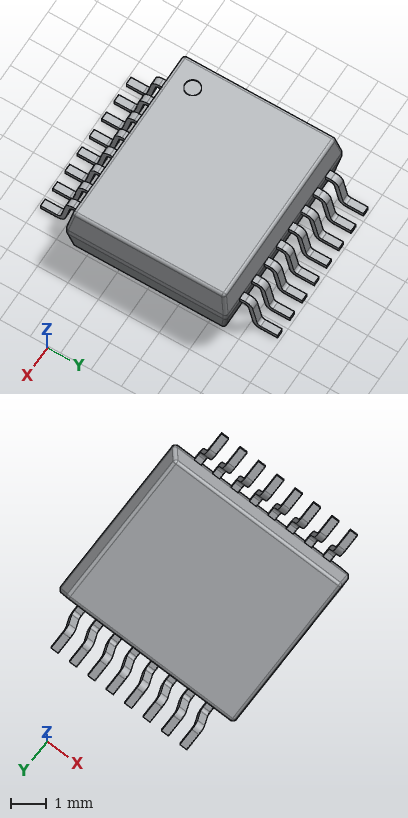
import cadquery as cq
import math

BODY_LENGTH = 6.2
BODY_WIDTH = 5.3
LEAD_TIP_SPAN = 7.8
TOTAL_HEIGHT = 1.98

STANDOFF = 0.08
BELT_HEIGHT = 0.22
DRAFT_ANGLE = 10.0
BODY_EDGE_RADIUS = 0.1

BODY_MID_Z = (STANDOFF + TOTAL_HEIGHT) / 2
TAPER_HEIGHT = (TOTAL_HEIGHT - STANDOFF - BELT_HEIGHT) / 2

MARK_DIAMETER = 0.5
MARK_INSET = 0.905
MARK_DEPTH = 0.05

LEADS_PER_SIDE = 8
LEAD_ROW_LENGTH = 4.55
LEAD_WIDTH = 0.25
LEAD_THICKNESS = 0.15
LEAD_EMBED = 0.155
SHOULDER_LENGTH = 0.18
BEND_RADIUS = 0.195
LEG_ANGLE = 12.0

LEAD_PITCH = LEAD_ROW_LENGTH / (LEADS_PER_SIDE - 1)


def make_body():
    """Belt with equal tapered halves above and below, rounded except along the belt."""
    belt_bottom = BODY_MID_Z - BELT_HEIGHT / 2
    belt_top = BODY_MID_Z + BELT_HEIGHT / 2

    def extrude_outline(base_z, height, taper=0):
        outline = cq.Workplane("XY", origin=(0, 0, base_z)).rect(BODY_LENGTH, BODY_WIDTH)
        return outline.extrude(height, taper=taper)

    belt = extrude_outline(belt_bottom, BELT_HEIGHT)
    upper = extrude_outline(belt_top, TAPER_HEIGHT, DRAFT_ANGLE)
    lower = upper.mirror("XY", (0, 0, BODY_MID_Z))
    body = belt.union(upper).union(lower)

    rims = body.faces(">Z or <Z").edges()
    corners = body.edges("not #Z")
    return body.newObject(rims.vals() + corners.vals()).fillet(BODY_EDGE_RADIUS)


def make_pin_mark():
    """Shallow round dimple beside the first lead."""
    return (
        cq.Workplane("XY")
        .workplane(offset=TOTAL_HEIGHT - MARK_DEPTH)
        .center(MARK_INSET - BODY_LENGTH / 2, MARK_INSET - BODY_WIDTH / 2)
        .circle(MARK_DIAMETER / 2)
        .extrude(MARK_DEPTH)
    )


def make_lead():
    """One lead at X = 0 on the +Y side, swept along its centre line."""
    lean = math.radians(LEG_ANGLE)
    bend_run = BEND_RADIUS * math.cos(lean)
    bend_drop = BEND_RADIUS * (1 - math.sin(lean))
    foot_z = LEAD_THICKNESS / 2
    leg_drop = BODY_MID_Z - foot_z - 2 * bend_drop
    leg_run = leg_drop * math.tan(lean)

    start_y = BODY_WIDTH / 2 - LEAD_EMBED
    shoulder_y = BODY_WIDTH / 2 + SHOULDER_LENGTH
    leg_top = (shoulder_y + bend_run, BODY_MID_Z - bend_drop)
    leg_bottom = (leg_top[0] + leg_run, foot_z + bend_drop)
    foot_start = (leg_bottom[0] + bend_run, foot_z)

    path = (
        cq.Workplane("YZ")
        .moveTo(start_y, BODY_MID_Z)
        .lineTo(shoulder_y, BODY_MID_Z)
        .radiusArc(leg_top, BEND_RADIUS)
        .lineTo(*leg_bottom)
        .radiusArc(foot_start, -BEND_RADIUS)
        .lineTo(LEAD_TIP_SPAN / 2, foot_z)
    )
    section = cq.Workplane("XZ", origin=(0, start_y, BODY_MID_Z)).rect(LEAD_WIDTH, LEAD_THICKNESS)
    return section.sweep(path)


result = make_body().cut(make_pin_mark())

lead = make_lead()
opposite_lead = lead.mirror("XZ")
for index in range(LEADS_PER_SIDE):
    lead_x = index * LEAD_PITCH - LEAD_ROW_LENGTH / 2
    result = result.union(lead.translate((lead_x, 0, 0)))
    result = result.union(opposite_lead.translate((lead_x, 0, 0)))